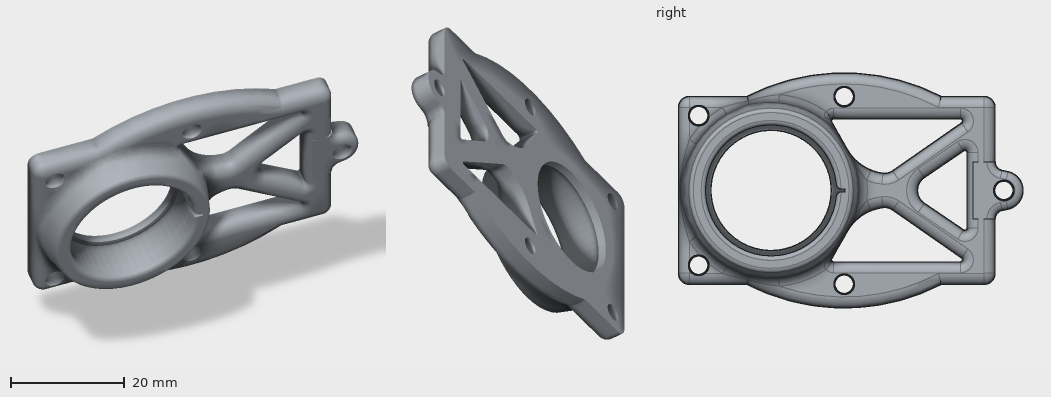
import cadquery as cq
import math


plate_thickness = 4.3
edge_round = 1.95
plate_near_y = -16.3
plate_far_y = 39.3
plate_half_height = 16.5
corner_radius = 2.0

bulge_center_y = 12.8
bulge_half_chord = 17.0
bulge_half_height = 20.6

hole_diameter = 3.2
hole_lip_depth = 0.5
hole_recess_diameter = 3.6
corner_hole_y = -12.7
corner_hole_z = 13.1
side_hole_z = 16.45

overall_length = 60.5
tab_radius = 3.4
tab_far_y = plate_near_y + overall_length
tab_hole_y = tab_far_y - tab_radius
tab_flank_angle = math.radians(12)
tab_neck_radius = 1.5
tab_edge_round = 1.45

ring_height = 9.7
ring_tip_radius = 14.3
ring_draft = math.radians(15)
ring_foot_x = 2.3
ring_foot_round = 1.5
lip_depth = 1.5
lip_radius = 10.5
recess_radius = 11.5
rim_round = 0.8
foot_face_radius = ring_tip_radius + (ring_height - plate_thickness) * math.tan(ring_draft)

groove_width = 0.5
groove_depth = 1.5
groove_mouth_round = 0.95

tolerance = 1e-4
edge_samples = (0.1, 0.5, 0.9)

window_top_z = 12.5
window_outer_y = 34.35
window_inner_y = 10.35
window_flank_end = (13.35, 7.2)
window_low_point = (20.6, 2.95)
window_low_round = 2.4
triangle_base_y = 34.35
triangle_base_half_height = 7.3
triangle_apex_y = 23.6
triangle_apex_round = 2.7
window_corner_round = 0.35


def edge_near(body, selector, y, z):
    """Return the one matching edge that lies closest to the given place."""
    return body.edges(selector).edges(cq.selectors.NearestToPointSelector((0, y, z)))


def make_plate():
    length = plate_far_y - plate_near_y
    plate = (
        cq.Workplane("YZ")
        .center(plate_near_y + length / 2, 0)
        .rect(length, 2 * plate_half_height)
        .extrude(plate_thickness)
        .edges("|X")
        .fillet(corner_radius)
    )
    bulges = (
        cq.Workplane("YZ")
        .moveTo(bulge_center_y - bulge_half_chord, plate_half_height)
        .threePointArc(
            (bulge_center_y, bulge_half_height),
            (bulge_center_y + bulge_half_chord, plate_half_height),
        )
        .lineTo(bulge_center_y + bulge_half_chord, -plate_half_height)
        .threePointArc(
            (bulge_center_y, -bulge_half_height),
            (bulge_center_y - bulge_half_chord, -plate_half_height),
        )
        .close()
        .extrude(plate_thickness)
    )
    return plate.union(bulges).faces(">X").edges().fillet(edge_round)


def make_tab():
    sin_a = math.sin(tab_flank_angle)
    cos_a = math.cos(tab_flank_angle)
    tip_y = tab_hole_y + tab_radius * sin_a
    tip_z = tab_radius * cos_a
    neck_y = plate_far_y + tab_neck_radius * (1 - sin_a)
    neck_z = tip_z + (tip_y - neck_y) * math.tan(tab_flank_angle)
    neck_end_z = neck_z + tab_neck_radius * cos_a
    root_y = plate_far_y - 2 * edge_round
    tab = (
        cq.Workplane("YZ")
        .moveTo(root_y, neck_end_z)
        .lineTo(plate_far_y, neck_end_z)
        .radiusArc((neck_y, neck_z), -tab_neck_radius)
        .lineTo(tip_y, tip_z)
        .threePointArc((tab_far_y, 0), (tip_y, -tip_z))
        .lineTo(neck_y, -neck_z)
        .radiusArc((plate_far_y, -neck_end_z), -tab_neck_radius)
        .lineTo(root_y, -neck_end_z)
        .close()
        .extrude(plate_thickness)
    )
    outside_plate = cq.selectors.BoxSelector(
        (0, plate_far_y, -neck_end_z), (ring_height, tab_far_y, neck_end_z)
    )
    rim = tab.faces(">X").edges(outside_plate)
    return rim.fillet(tab_edge_round)


def make_triangle():
    window = (
        cq.Workplane("YZ")
        .polyline([
            (triangle_base_y, triangle_base_half_height),
            (triangle_base_y, -triangle_base_half_height),
            (triangle_apex_y, 0),
        ])
        .close()
        .extrude(ring_height)
    )
    window = window.edges("|X and <Y").fillet(triangle_apex_round)
    for side in (1, -1):
        corner = edge_near(window, "|X", triangle_base_y, side * triangle_base_half_height)
        window = corner.fillet(window_corner_round)
    return window


def make_side_window():
    window = (
        cq.Workplane("YZ")
        .moveTo(window_outer_y, window_top_z)
        .lineTo(window_inner_y, window_top_z)
        .lineTo(*window_flank_end)
        .tangentArcPoint(window_low_point, relative=False)
        .close()
        .extrude(ring_height)
    )
    window = edge_near(window, "|X", *window_low_point).fillet(window_low_round)
    for y in (window_outer_y, window_inner_y):
        window = edge_near(window, "|X", y, window_top_z).fillet(window_corner_round)
    return window


def make_ring():
    """Return the solid tapered ring; the bore is cut later."""
    foot_radius = ring_tip_radius + (ring_height - ring_foot_x) * math.tan(ring_draft)
    return (
        cq.Workplane("XY")
        .polyline([
            (ring_foot_x, 0),
            (ring_foot_x, foot_radius),
            (ring_height, ring_tip_radius),
            (ring_height, 0),
        ])
        .close()
        .revolve(360, (0, 0, 0), (1, 0, 0))
    )


def round_ring_foot(body):
    """Blend the ring into the plate's raised face."""
    foot_edges = [
        edge
        for edge in body.edges("%CIRCLE").vals()
        if abs(edge.startPoint().x - plate_thickness) < tolerance
        and abs(edge.endPoint().x - plate_thickness) < tolerance
        and abs(edge.radius() - foot_face_radius) < tolerance
    ]
    return body.newObject(foot_edges).fillet(ring_foot_round)


def cut_window(body, window):
    """Cut a window and round its rim on the raised side."""
    opened = body.cut(window)
    rim = []
    for edge in opened.edges().vals():
        on_wall = all(
            cq.Vertex.makeVertex(*edge.positionAt(place).toTuple()).distance(window.val()) < tolerance
            for place in edge_samples
        )
        along_bore = abs(edge.tangentAt(0.5).x) > 1 - tolerance
        if on_wall and not along_bore and edge.Center().x > plate_thickness / 2:
            rim.append(edge)
    return opened.newObject(rim).fillet(edge_round)


def make_bore():
    lip = cq.Workplane("YZ").circle(lip_radius).extrude(ring_height)
    recess = cq.Workplane("YZ").workplane(offset=lip_depth).circle(recess_radius).extrude(ring_height)
    return lip.union(recess)


def make_groove():
    """Return the narrow groove at +Y with a rounded mouth at the recess wall."""
    half_width = groove_width / 2
    mouth_half = half_width + groove_mouth_round
    mouth_y = math.sqrt(recess_radius**2 - mouth_half**2)
    throat_y = mouth_y + groove_mouth_round
    return (
        cq.Workplane("YZ")
        .workplane(offset=lip_depth)
        .moveTo(lip_radius, -mouth_half)
        .lineTo(mouth_y, -mouth_half)
        .radiusArc((throat_y, -half_width), groove_mouth_round)
        .lineTo(recess_radius + groove_depth, -half_width)
        .lineTo(recess_radius + groove_depth, half_width)
        .lineTo(throat_y, half_width)
        .radiusArc((mouth_y, mouth_half), groove_mouth_round)
        .lineTo(lip_radius, mouth_half)
        .close()
        .extrude(ring_height)
    )


def make_holes():
    """Return the mounting holes, each widening behind a thin lip at the flat face."""
    places = [(tab_hole_y, 0)]
    for side in (1, -1):
        places.append((corner_hole_y, side * corner_hole_z))
        places.append((bulge_center_y, side * side_hole_z))
    lips = cq.Workplane("YZ").pushPoints(places).circle(hole_diameter / 2).extrude(ring_height)
    recesses = (
        cq.Workplane("YZ")
        .workplane(offset=hole_lip_depth)
        .pushPoints(places)
        .circle(hole_recess_diameter / 2)
        .extrude(ring_height)
    )
    return lips.union(recesses)


side_window = make_side_window()
windows = (make_triangle(), side_window, side_window.mirror("XY"))

body = round_ring_foot(make_plate().union(make_ring()))
for window in windows:
    body = cut_window(body, window)
body = body.cut(make_bore())
body = body.faces(">X").edges().fillet(rim_round)
result = body.union(make_tab()).cut(make_groove()).cut(make_holes())